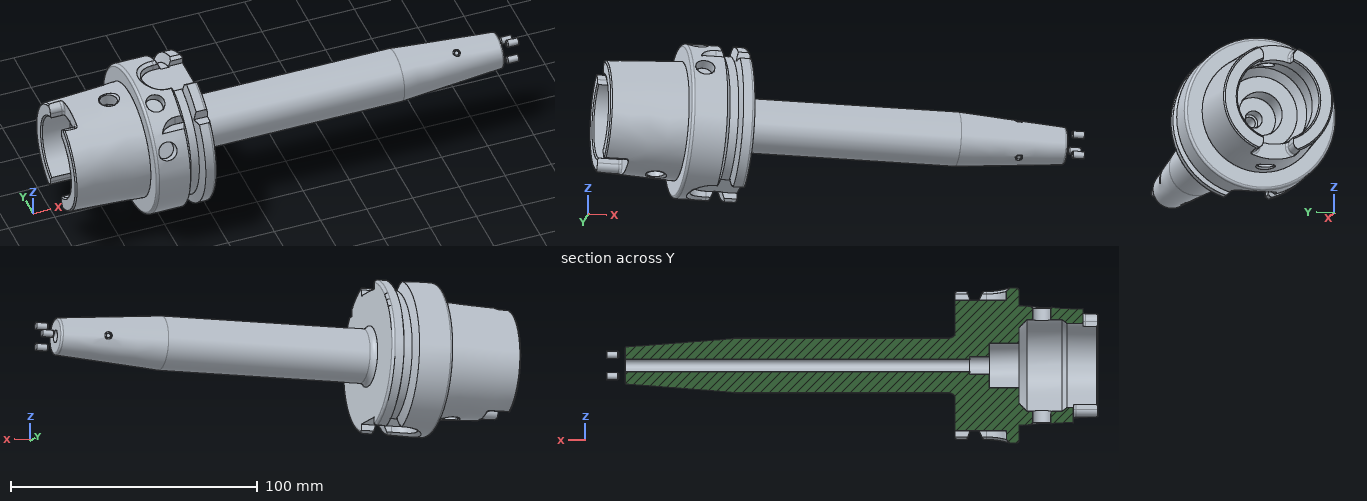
import cadquery as cq


shank_length = 32.0
shank_end_radius = 22.75
shank_base_radius = 24.3
shank_chamfer = 0.6
shank_slope = (shank_base_radius - shank_end_radius) / shank_length
cross_hole_x = 22.8
cross_hole_radius = 3.6
cross_hole_rim_radius = 4.3

mouth_radius = 17.0
mouth_chamfer = 0.6
lip_end_x = 12.5
undercut_radius = 18.5
undercut_run = 2.0
cavity_floor_radius = 15.3
cavity_depth = 32.0
tube_bore_radius = 9.0
tube_bore_end_x = 44.0
feed_bore_radius = 3.5
feed_bore_end_x = 52.0
through_bore_radius = 2.5

notch_half_width = 6.27
notch_edge_round = 3.0
notch_edge_z = 20.9
notch_corner_radius = 1.0
upper_notch_depth = 6.0
lower_notch_depth = 10.0

flange_radius = 31.5
flange_width = 26.0
flange_end_x = shank_length + flange_width
flange_edge_round = 1.1
groove_radius = 27.5
groove_floor_start_x = 48.3
groove_floor_end_x = 51.8
groove_rim_start_x = 46.5
groove_rim_end_x = 53.1

slot_floor_z = 26.5
slot_half_width = 8.0
slot_round_start_x = 37.2
slot_rim_width = 1.5

corner_notch_offset = 20.25
corner_notch_arc_radius = 8.0
corner_notch_arc_x = 43.9

flange_hole_x = 37.9
flange_hole_radius = 3.9
flange_hole_depth = 4.6
flange_hole_spread = 18.75
flange_hole_middle_angle = 135.0

neck_radius = 11.1
root_radius = 12.5
root_length = 2.7
nose_start_x = 147.0
nose_end_x = 191.7
nose_tip_radius = 7.6
nose_edge_round = 0.8

copies = 3
copy_angles = [i * 360 / copies for i in range(copies)]
plug_radius = 1.5
plug_chamfer = 0.6
plug_x = 172.0
plug_inner_end = 5.5
plug_outer_end = 8.8
pin_radius = 1.5
pin_length = 5.0
pin_chamfer = 0.5
pin_circle_radius = 5.0
pin_end_x = 199.2


def around_axis(body, angle):
    """Turn a body about the holder's axis; 0 degrees is +Y and 90 degrees is +Z."""
    return body.rotate((0, 0, 0), (1, 0, 0), angle)


def radial_cylinder(x, radius, inner, outer, angle):
    """A cylinder along a radius of the holder, between two distances from the axis."""
    cylinder = cq.Workplane("XZ", origin=(x, inner, 0)).circle(radius).extrude(inner - outer)
    return around_axis(cylinder, angle)


def turned_outside():
    """The full turned outline, from the shank to the nose."""
    nose_slope = (neck_radius - nose_tip_radius) / (nose_end_x - nose_start_x)
    outline = (
        cq.Workplane("XY")
        .moveTo(0, 0)
        .lineTo(0, shank_end_radius - shank_chamfer)
        .lineTo(shank_chamfer, shank_end_radius)
        .lineTo(shank_length, shank_base_radius)
        .lineTo(shank_length, flange_radius - flange_edge_round)
        .radiusArc((shank_length + flange_edge_round, flange_radius), flange_edge_round)
        .lineTo(groove_rim_start_x, flange_radius)
        .lineTo(groove_floor_start_x, groove_radius)
        .lineTo(groove_floor_end_x, groove_radius)
        .lineTo(groove_rim_end_x, flange_radius)
        .lineTo(flange_end_x - flange_edge_round, flange_radius)
        .radiusArc((flange_end_x, flange_radius - flange_edge_round), flange_edge_round)
        .lineTo(flange_end_x, root_radius)
    )
    root_rise = root_radius - neck_radius
    root_arc_radius = (root_length**2 + root_rise**2) / (2 * root_rise)
    outline = (
        outline.radiusArc((flange_end_x + root_length, neck_radius), -root_arc_radius)
        .lineTo(nose_start_x, neck_radius)
        .lineTo(nose_end_x - nose_edge_round, nose_tip_radius + nose_slope * nose_edge_round)
        .radiusArc((nose_end_x, nose_tip_radius - nose_edge_round), nose_edge_round)
        .lineTo(nose_end_x, 0)
        .close()
    )
    return outline.revolve(360, (0, 0, 0), (1, 0, 0))


def turned_inside():
    """The stepped space along the axis: cavity, coolant tube bore and through bore."""
    undercut_start_x = lip_end_x + undercut_run
    floor_chamfer = undercut_radius - cavity_floor_radius
    return (
        cq.Workplane("XY")
        .moveTo(0, 0)
        .lineTo(0, mouth_radius + mouth_chamfer)
        .lineTo(mouth_chamfer, mouth_radius)
        .lineTo(lip_end_x, mouth_radius)
        .lineTo(undercut_start_x, undercut_radius)
        .lineTo(cavity_depth - floor_chamfer, undercut_radius)
        .lineTo(cavity_depth, cavity_floor_radius)
        .lineTo(cavity_depth, tube_bore_radius)
        .lineTo(tube_bore_end_x, tube_bore_radius)
        .lineTo(tube_bore_end_x, feed_bore_radius)
        .lineTo(feed_bore_end_x, feed_bore_radius)
        .lineTo(feed_bore_end_x, through_bore_radius)
        .lineTo(nose_end_x, through_bore_radius)
        .lineTo(nose_end_x, 0)
        .close()
        .revolve(360, (0, 0, 0), (1, 0, 0))
    )


def cross_hole():
    """The upper hole through the shank wall, opening in a 45 degree cone at the outside."""
    surface = shank_end_radius + shank_slope * cross_hole_x
    rim_depth = cross_hole_rim_radius - cross_hole_radius
    cone = cq.Solid.makeCone(
        cross_hole_radius,
        cross_hole_rim_radius + rim_depth,
        2 * rim_depth,
        cq.Vector(cross_hole_x, 0, surface - rim_depth),
        cq.Vector(0, 0, 1),
    )
    hole = radial_cylinder(cross_hole_x, cross_hole_radius, 0, surface, 90)
    return hole.union(cq.Workplane(cone))


def drive_notch(depth):
    """The cutter of the upper notch: its mouth flares out in arcs and its end has rounded corners."""
    flare_start_z = notch_edge_z - notch_edge_round
    flare_half_width = notch_half_width + notch_edge_round
    notch = (
        cq.Workplane("YZ")
        .moveTo(-notch_half_width, 0)
        .lineTo(-notch_half_width, flare_start_z)
        .radiusArc((-flare_half_width, notch_edge_z), -notch_edge_round)
        .lineTo(-flare_half_width, shank_base_radius)
        .lineTo(flare_half_width, shank_base_radius)
        .lineTo(flare_half_width, notch_edge_z)
        .radiusArc((notch_half_width, flare_start_z), -notch_edge_round)
        .lineTo(notch_half_width, 0)
        .close()
        .extrude(depth)
    )
    return notch.faces(">X").edges().fillet(notch_corner_radius)


def round_ended_slot(centre_x, centre_y, floor_z, half_width):
    """A block with a round end of the slot's half width, open towards the nose."""
    length = flange_end_x - centre_x
    height = flange_radius - floor_z
    base = cq.Workplane("XY", origin=(centre_x, centre_y, floor_z))
    straight = base.rect(length, 2 * half_width).extrude(height).translate((length / 2, 0, 0))
    return base.circle(half_width).extrude(height).union(straight)


def drive_slot():
    """The material taken out of the flange by the upper slot and its chamfered rim."""
    blank = cq.Workplane("YZ", origin=(shank_length, 0, 0)).circle(flange_radius).extrude(flange_width)
    slotted = blank.cut(
        round_ended_slot(slot_round_start_x + slot_half_width, 0, slot_floor_z, slot_half_width)
    )
    rim_half_width = slot_half_width + slot_rim_width
    rim_zone = cq.selectors.BoxSelector(
        (slot_round_start_x, -rim_half_width, slot_floor_z + slot_rim_width),
        (flange_end_x - slot_rim_width, rim_half_width, flange_radius + slot_rim_width),
    )
    chamfered = slotted.edges(rim_zone).chamfer(slot_rim_width)
    return blank.cut(chamfered)


def corner_notch():
    """A horizontal floor and an upright wall, the wall running out in an arc."""
    arc_centre_y = -corner_notch_offset - corner_notch_arc_radius
    return round_ended_slot(corner_notch_arc_x, arc_centre_y, corner_notch_offset, corner_notch_arc_radius)


def flange_hole(angle):
    floor = flange_radius - flange_hole_depth
    clear_of_flange = flange_radius + flange_hole_radius
    return radial_cylinder(flange_hole_x, flange_hole_radius, floor, clear_of_flange, angle)


def make_holder():
    """The holder in one piece."""
    holder = turned_outside().cut(turned_inside())
    for turn, notch_depth in ((0, upper_notch_depth), (180, lower_notch_depth)):
        holder = holder.cut(around_axis(drive_notch(notch_depth), turn))
        holder = holder.cut(around_axis(cross_hole(), turn))
        holder = holder.cut(around_axis(drive_slot(), turn))
    holder = holder.cut(corner_notch())
    for spread in (-flange_hole_spread, flange_hole_spread):
        holder = holder.cut(flange_hole(flange_hole_middle_angle + spread))
    for angle in copy_angles:
        holder = holder.cut(radial_cylinder(plug_x, plug_radius, plug_inner_end, neck_radius, angle))
    return holder


def make_plug(angle):
    """A plug reaching from the floor of its hole to just below the nose surface."""
    plug = radial_cylinder(plug_x, plug_radius, plug_inner_end, plug_outer_end, 0)
    return around_axis(plug.faces(">Y").chamfer(plug_chamfer), angle)


def make_pin(angle):
    """A pin parallel to the axis, chamfered at the end that faces the nose."""
    pin = cq.Workplane("YZ", origin=(pin_end_x - pin_length, pin_circle_radius, 0)).circle(pin_radius)
    return around_axis(pin.extrude(pin_length).faces("<X").chamfer(pin_chamfer), angle)


holder = make_holder()
plugs = [make_plug(angle).val() for angle in copy_angles]
pins = [make_pin(angle).val() for angle in copy_angles]

result = cq.Compound.makeCompound([holder.val(), *plugs, *pins])